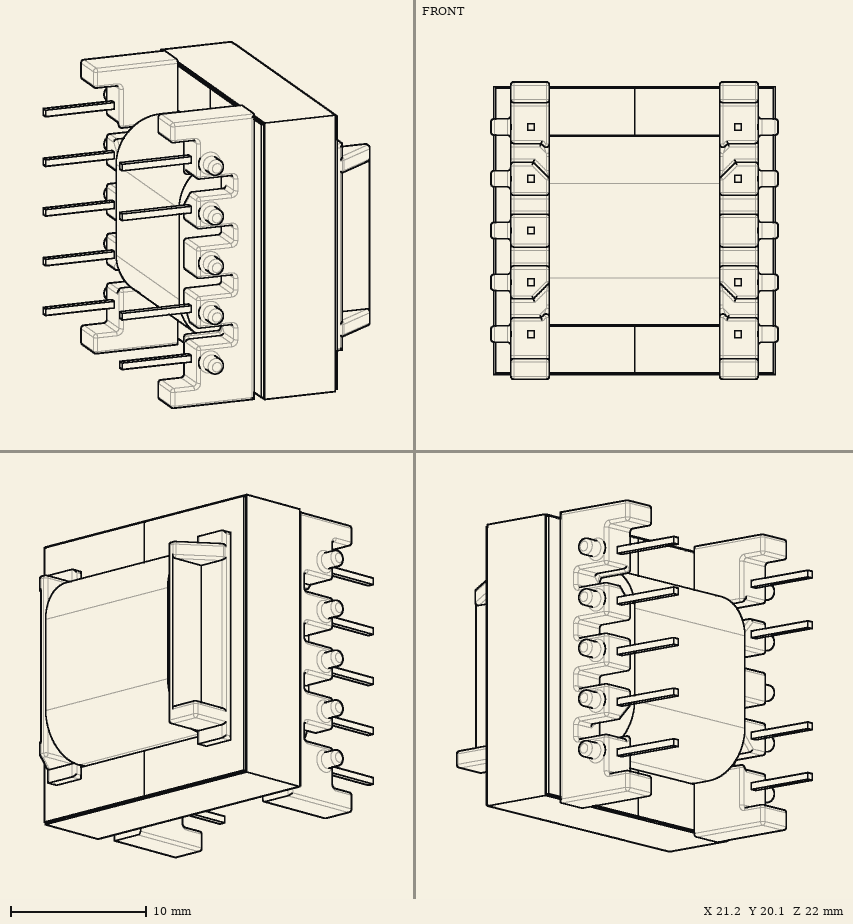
import cadquery as cq
import math


core_half_length = 10.27
core_half_height = 10.52
core_half_depth = 3.01
core_limb = 3.48
core_centre_half_height = 3.0
core_window_half_length = core_half_length - core_limb
core_window_half_height = core_half_height - core_limb

tape_thickness = 0.13
tape_half_width = 2.82

winding_half_length = 6.3
winding_half_height = 7.0
winding_front = -7.99
winding_back = 6.97
winding_corner = 3.5

clearance = 0.07
edge_radius = 0.25
end_wall = core_window_half_length - winding_half_length
end_wall_half_height = 6.95
tube_hole_half_depth = core_half_depth + clearance
tube_hole_half_height = core_centre_half_height + clearance
tube_half_depth = tube_hole_half_depth + end_wall
tube_half_height = tube_hole_half_height + end_wall

end_inner = winding_half_length
end_outer = 9.15
end_start = core_half_depth + clearance

block_half_height = 11.0
block_front = -9.72
terminal_front = -7.68
foot_inner = 9.45

slot_width = 1.39
slot_floor = -4.7
slot_bend_from_axis = 7.2
slot_turn = 45

guide_base_half_height = 7.96
guide_base_back = 3.94
guide_start = end_start + edge_radius
guide_back = winding_back
guide_rib = 1.28
guide_rib_tip_step = 0.13

pitch = 3.83
terminal_count = 5
pin_side = 0.5
pin_from_axis = 2 * pitch
pin_tip = -13.15
post_span = 21.23
post_tip = post_span / 2
post_diameter = 1.2
post_radius = post_diameter / 2
post_depth = -6.7
middle_terminal = terminal_count // 2

overcut = 1.1
reach = 0.02

terminal_heights = [(i - (terminal_count - 1) / 2) * pitch for i in range(terminal_count)]


def box_between(x0, x1, y0, y1, z0, z1):
    size = (x1 - x0, y1 - y0, z1 - z0)
    return cq.Workplane("XY").box(*size, centered=False).translate((x0, y0, z0))


def centred_box(length, depth, height):
    return cq.Workplane("XY").box(length, depth, height)


def prism_along_y(points, y0, y1):
    """Extrude an (X, Z) outline from y0 to y1."""
    return cq.Workplane("XZ", origin=(0, y1, 0)).polyline(points).close().extrude(y1 - y0)


def core_half(side):
    outline = [
        (0, core_half_height),
        (side * core_half_length, core_half_height),
        (side * core_half_length, -core_half_height),
        (0, -core_half_height),
        (0, -core_window_half_height),
        (side * core_window_half_length, -core_window_half_height),
        (side * core_window_half_length, -core_centre_half_height),
        (0, -core_centre_half_height),
        (0, core_centre_half_height),
        (side * core_window_half_length, core_centre_half_height),
        (side * core_window_half_length, core_window_half_height),
        (0, core_window_half_height),
    ]
    return prism_along_y(outline, -core_half_depth, core_half_depth)


def tape_band():
    length = 2 * core_half_length
    height = 2 * core_half_height
    width = 2 * tape_half_width
    outer = centred_box(length + 2 * tape_thickness, width, height + 2 * tape_thickness)
    return outer.cut(centred_box(length, width, height))


def winding_body():
    coil = box_between(
        -winding_half_length, winding_half_length,
        winding_front, winding_back,
        -winding_half_height, winding_half_height,
    ).edges("|X").fillet(winding_corner)
    return coil.cut(centred_box(2 * winding_half_length, 2 * tube_half_depth, 2 * tube_half_height))


def bobbin_core():
    """Tube around the centre limb, with an end wall at each end inside the core window."""
    length = 2 * core_window_half_length
    spool = centred_box(2 * winding_half_length, 2 * tube_half_depth, 2 * tube_half_height)
    for side in (-1, 1):
        wall = centred_box(end_wall, 2 * end_start + 2 * edge_radius, 2 * end_wall_half_height)
        spool = spool.union(wall.translate((side * (winding_half_length + end_wall / 2), 0, 0)))
    return spool.cut(centred_box(length, 2 * tube_hole_half_depth, 2 * tube_hole_half_height))


def straight_slot(height):
    slot = box_between(
        -end_outer - overcut, -end_inner + overcut,
        block_front - overcut, slot_floor,
        height - slot_width / 2, height + slot_width / 2,
    )
    return slot.faces(">Y").edges().fillet(edge_radius)


def bent_slot(height):
    """Slot above the axis that turns towards the axis at its inner end."""
    half = slot_width / 2
    bend_shift = half * math.tan(math.radians(slot_turn / 2))
    slope = math.tan(math.radians(slot_turn))
    upper_bend = -slot_bend_from_axis + bend_shift
    lower_bend = -slot_bend_from_axis - bend_shift
    outside = -end_outer - overcut
    inside = -end_inner + overcut
    outline = [
        (outside, height + half),
        (upper_bend, height + half),
        (inside, height + half - slope * (inside - upper_bend)),
        (inside, height - half - slope * (inside - lower_bend)),
        (lower_bend, height - half),
        (outside, height - half),
    ]
    slot = prism_along_y(outline, block_front - overcut, slot_floor)
    return slot.faces(">Y").edges().fillet(edge_radius)


def terminal_block():
    """Block of the -X end in front of the core: two feet and five terminals split by slots."""
    block = box_between(
        -end_outer, -end_inner, block_front, -end_start, -block_half_height, block_half_height
    )
    recess = box_between(
        -end_outer - overcut, -end_inner + overcut,
        block_front - overcut, terminal_front,
        -foot_inner, foot_inner,
    ).faces(">Y").edges().fillet(edge_radius)
    block = block.cut(recess)
    block = block.cut(straight_slot(pitch / 2)).cut(straight_slot(-pitch / 2))
    outer_slot = bent_slot(pitch / 2 + pitch)
    block = block.cut(outer_slot).cut(outer_slot.mirror("XY"))

    slot_rims = block.edges(
        cq.selectors.BoxSelector(
            (-end_outer - reach, terminal_front - reach, -foot_inner + 2 * edge_radius),
            (-end_inner + reach, terminal_front + reach, foot_inner - 2 * edge_radius),
        )
    )
    inner_side = block.faces(">X").edges("not(>Y)")
    rounded = block.faces("<X or <Y").edges().add(inner_side).add(slot_rims)
    return rounded.fillet(edge_radius)


def guide_rib_blank(low, high, square):
    """Rib of full width, or one whose outer side slopes back to the plate."""
    outline = [(-end_inner, guide_start), (-end_outer, guide_start), (-end_outer, guide_base_back)]
    if square:
        outline.append((-end_outer, guide_back))
    else:
        outline.append((-end_inner - end_wall - guide_rib_tip_step, guide_back))
    outline.append((-end_inner, guide_back))
    return cq.Workplane("XY", origin=(0, 0, low)).polyline(outline).close().extrude(high - low)


def back_guide(lower_rib_square):
    """Part of the -X end behind the core: base, thin plate and a rib at each end of the plate."""
    base = box_between(
        -end_outer, -end_inner, end_start, guide_base_back,
        -guide_base_half_height, guide_base_half_height,
    ).faces("<X or >X").edges().fillet(edge_radius)
    plate_face = -end_inner - end_wall
    plate = box_between(
        plate_face, -end_inner, guide_start, guide_back, -end_wall_half_height, end_wall_half_height
    )
    rib_inner = end_wall_half_height - guide_rib
    upper = guide_rib_blank(rib_inner, end_wall_half_height, False)
    lower = guide_rib_blank(-end_wall_half_height, -rib_inner, lower_rib_square)
    channel = plate.union(upper).union(lower)
    inside_corners = cq.selectors.BoxSelector(
        (plate_face - reach, guide_start, -rib_inner - reach),
        (plate_face + reach, guide_back + reach, rib_inner + reach),
    )
    buried_edges = cq.selectors.BoxSelector(
        (-end_outer - reach, guide_start - reach, -guide_base_half_height),
        (-end_inner + reach, guide_start + reach, guide_base_half_height),
    )
    channel = channel.edges(cq.Selector() - inside_corners - buried_edges).fillet(edge_radius)
    return base.union(channel)


def wire_post(height):
    """Round post on the -X face, flared at its foot and rounded at its tip."""
    post_foot = -end_outer + edge_radius
    flare_radius = post_radius + edge_radius
    rounding = edge_radius * (1 - math.sqrt(0.5))
    profile = (
        cq.Workplane("XZ")
        .moveTo(post_foot, 0)
        .lineTo(post_foot, flare_radius)
        .lineTo(-end_outer, flare_radius)
        .threePointArc(
            (-end_outer - rounding, post_radius + rounding), (-end_outer - edge_radius, post_radius)
        )
        .lineTo(-post_tip + edge_radius, post_radius)
        .threePointArc(
            (-post_tip + rounding, post_radius - rounding), (-post_tip, post_radius - edge_radius)
        )
        .lineTo(-post_tip, 0)
        .close()
    )
    return profile.revolve(360, (0, 0, 0), (1, 0, 0)).translate((0, post_depth, height))


def pin(height):
    half = pin_side / 2
    return box_between(
        -pin_from_axis - half, -pin_from_axis + half,
        pin_tip, terminal_front + edge_radius,
        height - half, height + half,
    )


def bobbin_end(lower_rib_square, unpinned):
    """Terminal block, back guide, posts and pins of the -X end; unpinned lists empty pin places."""
    end = terminal_block().union(back_guide(lower_rib_square))
    for i, height in enumerate(terminal_heights):
        end = end.union(wire_post(height))
        if i not in unpinned:
            end = end.union(pin(height))
    return end


def bobbin_body():
    left_end = bobbin_end(lower_rib_square=True, unpinned=[])
    right_end = bobbin_end(lower_rib_square=False, unpinned=[middle_terminal]).mirror("YZ")
    return bobbin_core().union(left_end).union(right_end)


core_left = core_half(-1)
core_right = core_half(1)
tape = tape_band()
winding = winding_body()
bobbin = bobbin_body()

result = cq.Compound.makeCompound(
    [core_left.val(), core_right.val(), tape.val(), winding.val(), bobbin.val()]
)